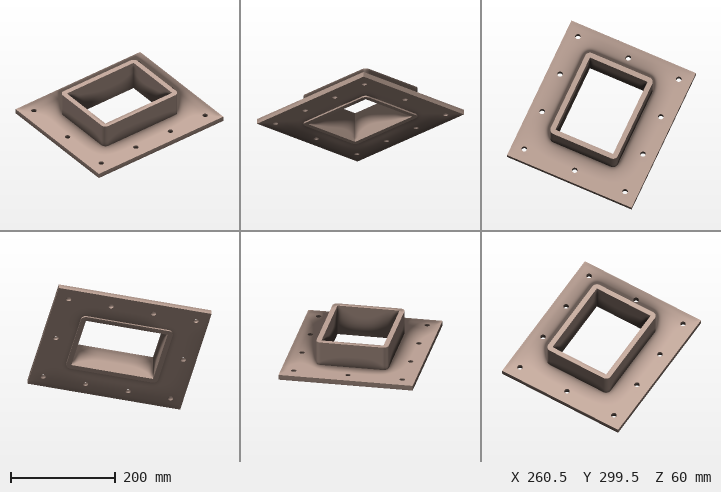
import cadquery as cq

plate_width = 260.5
plate_length = 299.5
plate_thickness = 10.0

sleeve_width = 140.2
sleeve_length = 180.0
sleeve_height = 60.0
sleeve_wall = 10.0
sleeve_corner_radius = 10.0
sleeve_projection_below = 3.0

hole_diameter = 10.5
hole_edge_distance = 25.0
holes_per_side = 4

opening_width = sleeve_width - 2 * sleeve_wall
opening_length = sleeve_length - 2 * sleeve_wall
hole_x = plate_width / 2 - hole_edge_distance
hole_y = plate_length / 2 - hole_edge_distance
hole_pitch = 2 * hole_y / (holes_per_side - 1)


def block(width, length, height, bottom):
    """Box centred on the Z axis, standing on the given bottom level."""
    return (
        cq.Workplane("XY")
        .workplane(offset=bottom)
        .rect(width, length)
        .extrude(height)
    )


def bolt_positions():
    """Evenly spaced rows along both long sides, plus the middle of each short side."""
    side_rows = [-hole_y + row * hole_pitch for row in range(holes_per_side)]
    side_holes = [(x, y) for x in (-hole_x, hole_x) for y in side_rows]
    return side_holes + [(0, -hole_y), (0, hole_y)]


plate_bottom = -plate_thickness
sleeve_bottom = plate_bottom - sleeve_projection_below

plate = block(plate_width, plate_length, plate_thickness, plate_bottom)
bolt_holes = (
    cq.Workplane("XY")
    .workplane(offset=plate_bottom)
    .pushPoints(bolt_positions())
    .circle(hole_diameter / 2)
    .extrude(plate_thickness)
)
sleeve = (
    block(sleeve_width, sleeve_length, sleeve_height, sleeve_bottom)
    .edges("|Z")
    .fillet(sleeve_corner_radius)
)
opening = block(opening_width, opening_length, sleeve_height, sleeve_bottom)

result = plate.cut(bolt_holes).union(sleeve).cut(opening)